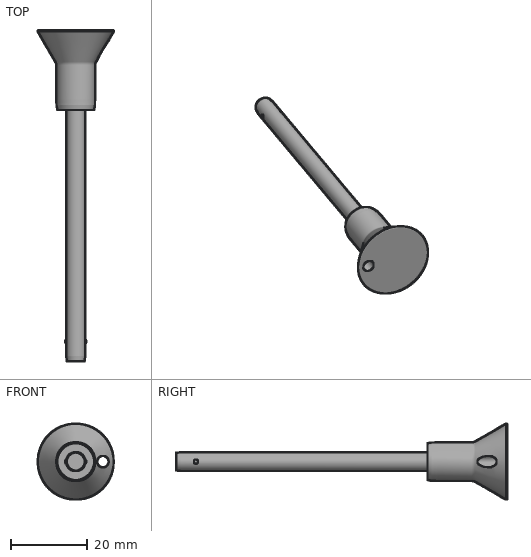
import cadquery as cq
import math

length = 87.0

rim_radius = 10.0
rim_rounding = 0.4
handle_radius = 5.1
handle_length = 21.05
flare_length = 9.2
flare_angle = math.radians(30)
flare_blend_radius = 1.5
handle_taper_length = 1.6
handle_taper_depth = 0.04
handle_chamfer_length = 1.2
handle_chamfer_depth = 0.3

shank_radius = 2.5
tip_chamfer_length = 1.3
tip_chamfer_depth = 0.2

ball_radius = 0.7
ball_reach = 2.8
ball_from_tip = 5.2

hole_diameter = 3.0
hole_offset = 7.1


def blend_point(angle):
    """Point on the concave blend, at an angle turned from the straight handle side."""
    radius = handle_radius + flare_blend_radius * (1 - math.cos(angle))
    return radius, -flare_length + flare_blend_radius * math.sin(angle)


def make_body():
    """Revolve the handle and shank outline about the Y axis."""
    half = math.sqrt(0.5)
    rounding_mid = (rim_radius - rim_rounding * (1 - half), -rim_rounding * (1 - half))
    chamfer_start = -handle_length + handle_chamfer_length
    collar_radius = handle_radius - handle_taper_depth
    outline = (
        cq.Workplane("XY")
        .moveTo(0, 0)
        .lineTo(rim_radius - rim_rounding, 0)
        .threePointArc(rounding_mid, (rim_radius, -rim_rounding))
        .lineTo(*blend_point(flare_angle))
        .threePointArc(blend_point(flare_angle / 2), blend_point(0))
        .lineTo(handle_radius, chamfer_start + handle_taper_length)
        .lineTo(collar_radius, chamfer_start)
        .lineTo(collar_radius - handle_chamfer_depth, -handle_length)
        .lineTo(shank_radius, -handle_length)
        .lineTo(shank_radius, -length + tip_chamfer_length)
        .lineTo(shank_radius - tip_chamfer_depth, -length)
        .lineTo(0, -length)
        .close()
    )
    return outline.revolve(360, (0, 0, 0), (0, 1, 0))


def make_ball(side):
    """Locking ball standing slightly proud of the shank on the given X side."""
    center = (side * (ball_reach - ball_radius), -length + ball_from_tip, 0)
    return cq.Workplane("XY").sphere(ball_radius).translate(center)


def make_lanyard_hole():
    """Cylinder parallel to the pin, cutting through the flare on the +X side."""
    return (
        cq.Workplane("XZ")
        .center(hole_offset, 0)
        .circle(hole_diameter / 2)
        .extrude(flare_length)
    )


result = make_body()
for side in (-1, 1):
    result = result.union(make_ball(side))
result = result.cut(make_lanyard_hole())